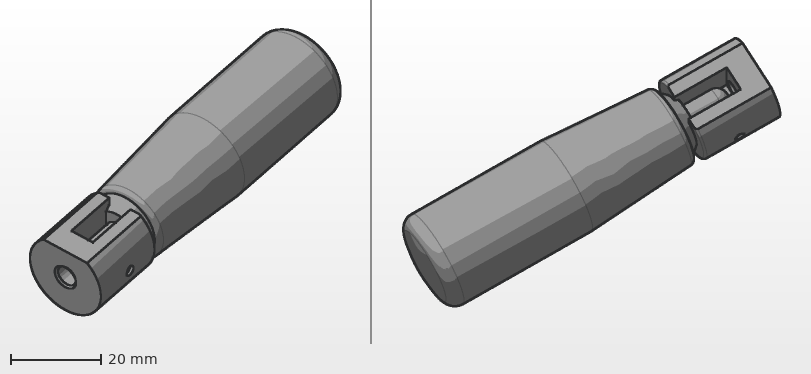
import cadquery as cq
import math


base_radius = 10.0
base_length = 19.5
base_edge_round = 0.5
flat_height = 7.9
slot_width = 6.0
slot_end_y = 6.0
slot_depth = flat_height + slot_width / 2
pivot_y = 10.4
pivot_hole_diameter = 2.4
pivot_hole_depth = 1.0
end_hole_diameter = 5.0
end_hole_chamfer = 0.5

shank_radius = 2.8
seat_start_y = 18.4
seat_start_radius = 5.5
seat_end_y = 21.5
seat_end_radius = 8.3
grip_end_radius = 9.7
grip_end_round = 1.3
taper_end_y = 49.4
grip_radius = 11.5
handle_end_y = 87.0
dome_radius = 34.8
dome_edge_round = 3.3

seat_slope = (seat_end_radius - seat_start_radius) / (seat_end_y - seat_start_y)
seat_mouth_radius = seat_start_radius + seat_slope * (base_length - seat_start_y)


def cut_conical_seat(body):
    """Sink the recess that receives the handle's cone into the end of the base."""
    recess = (
        cq.Workplane("XY")
        .moveTo(0, seat_start_y)
        .lineTo(seat_start_radius, seat_start_y)
        .lineTo(seat_mouth_radius, base_length)
        .lineTo(0, base_length)
        .close()
        .revolve(360, (0, 0, 0), (0, 1, 0))
    )
    return body.cut(recess)


def cut_top_flat(body):
    waste = cq.Workplane("XY").box(
        2 * base_radius, base_length, base_radius, centered=(True, False, False)
    )
    return body.cut(waste.translate((0, 0, flat_height)))


def cut_slot(body):
    """Cut the slot down to its floor, open at the top and at the handle end."""
    slot = cq.Workplane("XY").box(
        slot_width, base_length - slot_end_y, slot_depth, centered=(True, False, False)
    )
    return body.cut(slot.translate((0, slot_end_y, flat_height - slot_depth)))


def cut_pivot_holes(body):
    """Sink a shallow blind hole into each side, in line with the centre of the shank's tip."""
    for side in (-1, 1):
        hole = (
            cq.Workplane("YZ", origin=(side * base_radius, pivot_y, 0))
            .circle(pivot_hole_diameter / 2)
            .extrude(-side * pivot_hole_depth)
        )
        body = body.cut(hole)
    return body


def cut_end_hole(body):
    """Bore the chamfered hole from the free end into the slot."""
    return (
        body.faces("<Y")
        .workplane(origin=(0, 0, 0))
        .cskHole(end_hole_diameter, end_hole_diameter + 2 * end_hole_chamfer, 90, depth=slot_end_y)
    )


def make_base():
    body = cq.Workplane("XZ").circle(base_radius).extrude(-base_length)
    body = body.faces(">Y").edges().fillet(base_edge_round)
    body = cut_end_hole(body)
    body = cut_conical_seat(body)
    body = cut_top_flat(body)
    body = cut_slot(body)
    return cut_pivot_holes(body)


def dome_edge_arc():
    """Return the start, middle and end of the arc joining the grip's side to its dome."""
    dome_center_y = handle_end_y - dome_radius
    center_radius = grip_radius - dome_edge_round
    center_distance = dome_radius - dome_edge_round
    center_y = dome_center_y + math.sqrt(center_distance**2 - center_radius**2)
    end_angle = math.acos(center_radius / center_distance)

    def arc_point(angle):
        return (
            center_radius + dome_edge_round * math.cos(angle),
            center_y + dome_edge_round * math.sin(angle),
        )

    return arc_point(0), arc_point(end_angle / 2), arc_point(end_angle)


def make_handle():
    edge_start, edge_middle, edge_end = dome_edge_arc()
    dome_half_angle = math.asin(edge_end[0] / dome_radius) / 2
    dome_middle = (
        dome_radius * math.sin(dome_half_angle),
        handle_end_y - dome_radius * (1 - math.cos(dome_half_angle)),
    )
    tip_middle = (
        shank_radius * math.sin(math.pi / 4),
        pivot_y - shank_radius * math.cos(math.pi / 4),
    )
    grip_end_middle = (
        grip_end_radius - grip_end_round * (1 - math.cos(math.pi / 4)),
        seat_end_y + grip_end_round * (1 - math.sin(math.pi / 4)),
    )
    return (
        cq.Workplane("XY")
        .moveTo(0, pivot_y - shank_radius)
        .threePointArc(tip_middle, (shank_radius, pivot_y))
        .lineTo(shank_radius, seat_start_y)
        .lineTo(seat_start_radius, seat_start_y)
        .lineTo(seat_end_radius, seat_end_y)
        .lineTo(grip_end_radius - grip_end_round, seat_end_y)
        .threePointArc(grip_end_middle, (grip_end_radius, seat_end_y + grip_end_round))
        .lineTo(grip_radius, taper_end_y)
        .lineTo(*edge_start)
        .threePointArc(edge_middle, edge_end)
        .threePointArc(dome_middle, (0, handle_end_y))
        .close()
        .revolve(360, (0, 0, 0), (0, 1, 0))
    )


base = make_base()
handle = make_handle()
result = cq.Compound.makeCompound([base.val(), handle.val()])